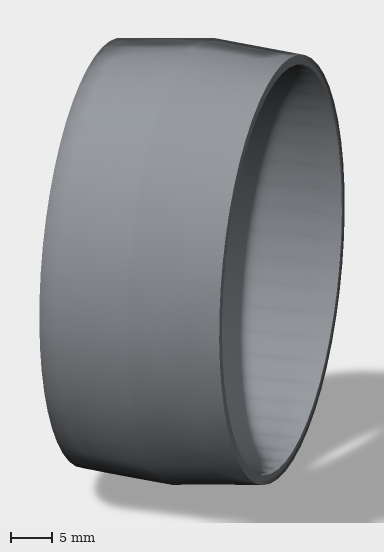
import cadquery as cq

width = 22.86
crown_diameter = 54.6
rim_diameter = 52.6
bore_diameter = 50.2

half_width = width / 2
crown_radius = crown_diameter / 2
rim_radius = rim_diameter / 2
bore_radius = bore_diameter / 2


def crowned_ring():
    """Ring about the X axis whose outside tapers from a central crown to both rims."""
    profile = (
        cq.Workplane("XZ")
        .moveTo(-half_width, bore_radius)
        .lineTo(-half_width, rim_radius)
        .lineTo(0, crown_radius)
        .lineTo(half_width, rim_radius)
        .lineTo(half_width, bore_radius)
        .close()
    )
    return profile.revolve(360, (0, 0, 0), (1, 0, 0))


result = crowned_ring()